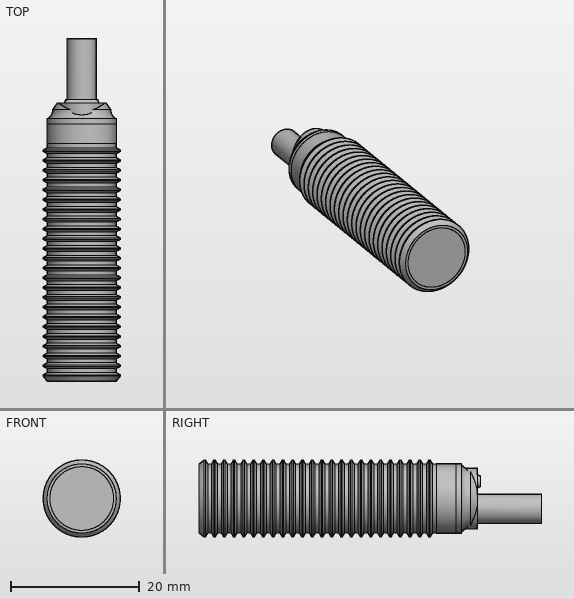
import cadquery as cq
import math

total_length = 53.2

thread_radius = 6.0
root_radius = 5.4
ridge_count = 24
first_ridge_y = 0.9
last_ridge_y = 35.8
pitch = (last_ridge_y - first_ridge_y) / (ridge_count - 1)
flank_half_angle = math.radians(30)
crest_half_width = pitch / 16
thread_depth = thread_radius - root_radius
ridge_half_width = crest_half_width + thread_depth * math.tan(flank_half_angle)
collar_radius = 5.45
collar_start_y = 36.95
housing_end_y = 39.95

face_radius = 4.95
face_thickness = 1.05

rim_end_y = 40.8
flare_end_radius = 5.25
neck_radius = 4.5
neck_start_y = 42.2
cap_end_y = 43.25
cap_end_radius = 3.8
flare_height = neck_start_y - rim_end_y
flare_width = flare_end_radius - neck_radius
flare_radius = (flare_height**2 + flare_width**2) / (2 * flare_width)

boss_half_width = 3.7
boss_half_height = 4.75

cable_radius = 2.3
cable_z = -1.6

lens_width = 5.45
lens_height = 2.1
lens_z = 2.65
lens_thickness = 0.5
lens_inset = 0.2
lens_taper = math.degrees(math.atan(lens_inset / lens_thickness))


def plane_at(y, z=0.0):
    """Sketch plane square to the sensor axis, extruding toward the cable."""
    return cq.Workplane(cq.Plane(origin=(0, y, z), xDir=(-1, 0, 0), normal=(0, 1, 0)))


def spin(profile):
    """Turn a closed (radius, y) profile about the sensor axis."""
    return profile.close().revolve(360, (0, 0, 0), (0, 1, 0))


def make_housing():
    profile = cq.Workplane("XY").lineTo(root_radius, 0)
    for index in range(ridge_count):
        ridge_y = first_ridge_y + index * pitch
        if index > 0:
            profile = profile.lineTo(root_radius, ridge_y - ridge_half_width)
        profile = profile.lineTo(thread_radius, ridge_y - crest_half_width)
        profile = profile.lineTo(thread_radius, ridge_y + crest_half_width)
        profile = profile.lineTo(root_radius, ridge_y + ridge_half_width)
    profile = (
        profile.lineTo(root_radius, collar_start_y)
        .lineTo(collar_radius, collar_start_y)
        .lineTo(collar_radius, housing_end_y)
        .lineTo(0, housing_end_y)
    )
    face_recess = plane_at(0).circle(face_radius).extrude(face_thickness)
    return spin(profile).cut(face_recess)


def make_sensing_face():
    return plane_at(0).circle(face_radius).extrude(face_thickness)


def make_end_cap():
    profile = (
        cq.Workplane("XY")
        .moveTo(0, housing_end_y)
        .lineTo(collar_radius, housing_end_y)
        .lineTo(collar_radius, rim_end_y)
        .lineTo(flare_end_radius, rim_end_y)
        .radiusArc((neck_radius, neck_start_y), flare_radius)
        .lineTo(cap_end_radius, cap_end_y)
        .lineTo(0, cap_end_y)
    )
    boss = (
        plane_at(rim_end_y)
        .ellipse(boss_half_width, boss_half_height)
        .extrude(cap_end_y - rim_end_y)
    )
    return spin(profile).union(boss)


def make_cable():
    return plane_at(cap_end_y, cable_z).circle(cable_radius).extrude(total_length - cap_end_y)


def make_lens():
    return (
        plane_at(cap_end_y, lens_z)
        .slot2D(lens_width, lens_height)
        .extrude(lens_thickness, taper=lens_taper)
    )


housing = make_housing()
sensing_face = make_sensing_face()
end_cap = make_end_cap()
cable = make_cable()
lens = make_lens()

result = cq.Compound.makeCompound(
    [housing.val(), sensing_face.val(), end_cap.val(), cable.val(), lens.val()]
)